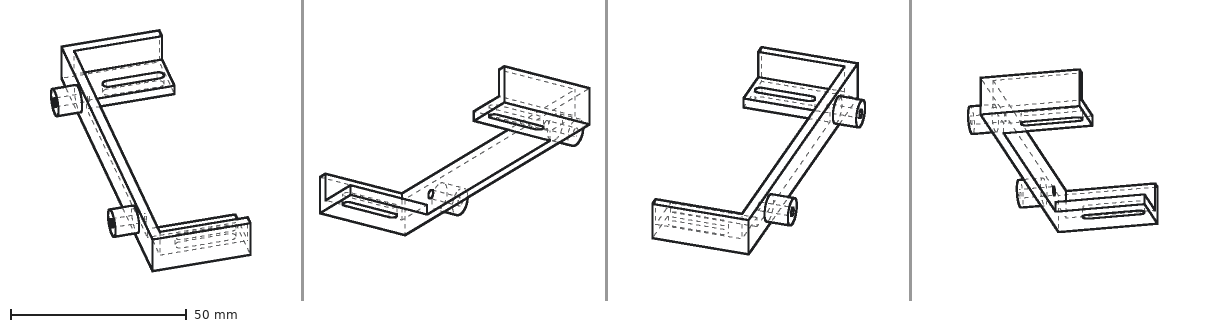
import cadquery as cq

length = 96.0
height = 11.2
total_depth = 36.0
boss_length = 7.0
frame_depth = total_depth - boss_length
wall = 3.0

flange_reach = 16.0
flange_thickness = 3.0
slot_width = 3.0
slot_length = 18.0
slot_inset = 10.0
slot_back_margin = 1.5

boss_diameter = 8.0
bore_diameter = 2.5
boss_spacing = 60.0


def make_frame():
    """U-shaped frame, open toward +Y, with its front face on Y = 0."""
    outer = cq.Workplane("XY").box(length, frame_depth, height, centered=(True, False, False))
    opening = (
        cq.Workplane("XY")
        .box(length - 2 * wall, frame_depth - wall, height, centered=(True, False, False))
        .translate((0, wall, 0))
    )
    return outer.cut(opening)


def make_flange(side):
    """Slotted flange of the arm on the given side (-1 left, +1 right)."""
    plate = (
        cq.Workplane("XY")
        .box(flange_reach, frame_depth, flange_thickness, centered=(True, False, False))
        .translate((side * (length - flange_reach) / 2, 0, 0))
    )
    slot_x = side * (length / 2 - slot_inset)
    slot_y = frame_depth - slot_back_margin - slot_length / 2
    slot = (
        cq.Workplane("XY")
        .center(slot_x, slot_y)
        .slot2D(slot_length, slot_width, 90)
        .extrude(flange_thickness)
    )
    return plate.cut(slot)


def front_cylinders(diameter, back):
    """Pair of cylinders at the boss positions, from the boss tips to Y = back."""
    return (
        cq.Workplane("XZ", origin=(0, back, height / 2))
        .pushPoints([(-boss_spacing / 2, 0), (boss_spacing / 2, 0)])
        .circle(diameter / 2)
        .extrude(back + boss_length)
    )


result = make_frame()
for side in (-1, 1):
    result = result.union(make_flange(side))

result = result.union(front_cylinders(boss_diameter, wall / 2))
result = result.cut(front_cylinders(bore_diameter, wall))